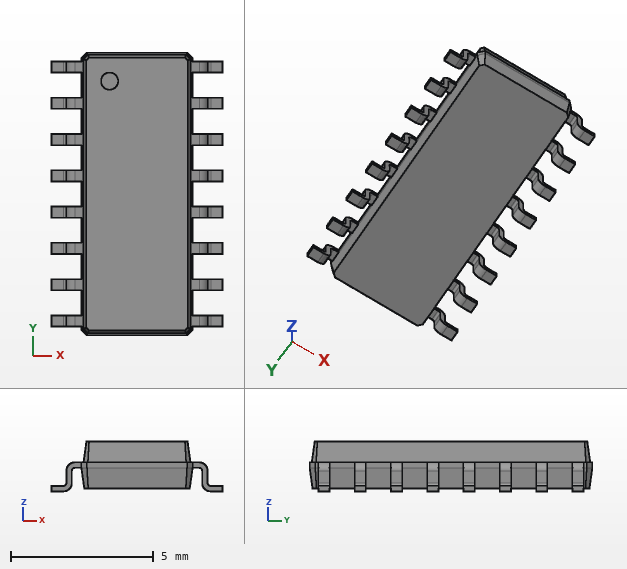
import cadquery as cq
import math

overall_width = 6.0
overall_height = 1.75
standoff = 0.1

body_width = 3.9
body_length = 9.9
corner_chamfer = 0.2
shoulder = 0.075
draft_angle = 8.0

leads_per_side = 8
lead_pitch = 1.27
lead_width = 0.4
lead_thickness = 0.2
foot_length = 0.725
bend_inner_radius = 0.1
bend_outer_radius = bend_inner_radius + lead_thickness
lead_embed = 0.5

dot_diameter = 0.6
dot_depth = 0.1
dot_x = -0.96
dot_y = 3.95

band_middle = (standoff + overall_height) / 2
band_bottom = band_middle - lead_thickness / 2
band_top = band_middle + lead_thickness / 2
half_height = overall_height - band_top
draft_inset = half_height * math.tan(math.radians(draft_angle))


def body_section(inset, z):
    """Chamfered rectangle at height z, every side moved in by the inset."""
    half_x = body_width / 2 - inset
    half_y = body_length / 2 - inset
    chamfer = corner_chamfer - inset * (2 - math.sqrt(2))
    points = [
        (half_x, half_y - chamfer),
        (half_x - chamfer, half_y),
        (chamfer - half_x, half_y),
        (-half_x, half_y - chamfer),
        (-half_x, chamfer - half_y),
        (chamfer - half_x, -half_y),
        (half_x - chamfer, -half_y),
        (half_x, chamfer - half_y),
    ]
    return cq.Wire.makePolygon([cq.Vector(x, y, z) for x, y in points], close=True)


def body_layer(bottom_inset, bottom_z, top_inset, top_z):
    """Straight-sided layer of the body between two sections."""
    sections = [body_section(bottom_inset, bottom_z), body_section(top_inset, top_z)]
    return cq.Workplane(obj=cq.Solid.makeLoft(sections, True))


def make_body():
    lower_half = body_layer(draft_inset, standoff, 0, band_bottom)
    band = body_layer(0, band_bottom, 0, band_top)
    upper_half = body_layer(shoulder, band_top, shoulder + draft_inset, overall_height)
    return band.union(lower_half).union(upper_half)


def make_lead():
    """Right-hand (+X) lead, centred on Y = 0."""
    tip_x = overall_width / 2
    upright_inner_x = tip_x - foot_length
    upright_outer_x = upright_inner_x + lead_thickness
    root_x = body_width / 2 - lead_embed
    inner = bend_inner_radius
    outer = bend_outer_radius
    foot_top = lead_thickness
    profile = (
        cq.Workplane("XZ")
        .moveTo(tip_x, 0)
        .lineTo(upright_inner_x + outer, 0)
        .radiusArc((upright_inner_x, outer), outer)
        .lineTo(upright_inner_x, band_bottom - inner)
        .radiusArc((upright_inner_x - inner, band_bottom), -inner)
        .lineTo(root_x, band_bottom)
        .lineTo(root_x, band_top)
        .lineTo(upright_outer_x - outer, band_top)
        .radiusArc((upright_outer_x, band_top - outer), outer)
        .lineTo(upright_outer_x, foot_top + inner)
        .radiusArc((upright_outer_x + inner, foot_top), -inner)
        .lineTo(tip_x, foot_top)
        .close()
    )
    return profile.extrude(lead_width / 2, both=True)


def add_leads(body):
    right_lead = make_lead()
    left_lead = right_lead.mirror("YZ")
    first_y = -lead_pitch * (leads_per_side - 1) / 2
    for index in range(leads_per_side):
        offset = (0, first_y + index * lead_pitch, 0)
        body = body.union(right_lead.translate(offset))
        body = body.union(left_lead.translate(offset))
    return body


def cut_pin_one_dot(body):
    dot = (
        cq.Workplane("XY", origin=(dot_x, dot_y, overall_height))
        .circle(dot_diameter / 2)
        .extrude(-dot_depth)
    )
    return body.cut(dot)


result = cut_pin_one_dot(add_leads(make_body()))